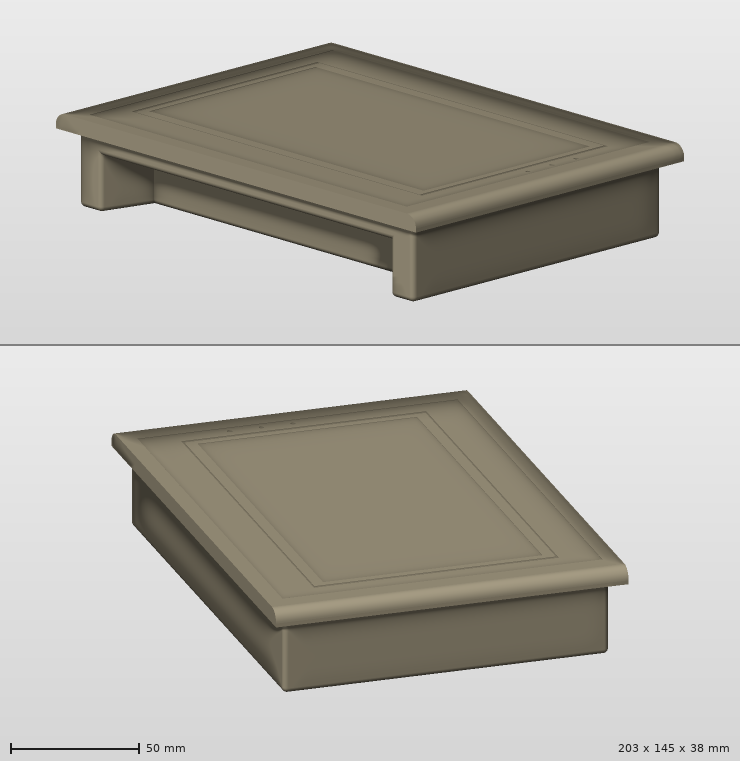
import cadquery as cq
import math

PLATE_LENGTH = 203.0
PLATE_WIDTH = 145.0
PLATE_THICKNESS = 6.7
PLATE_END_RADIUS = 5.0

TOTAL_HEIGHT = 38.0
BODY_LENGTH = 188.4
BODY_WIDTH = 134.0
BODY_EDGE_RADIUS = 2.0
BODY_HEIGHT = TOTAL_HEIGHT - PLATE_THICKNESS

RECESS_MOUTH_LENGTH = 163.6
RECESS_DEPTH = 23.0
RECESS_HEIGHT = 23.1
RECESS_WALL_ANGLE = 15.0

RELIEF_DEPTH = 0.2
FILM_SIZE = (178.6, 131.5)
WINDOW_SIZE = (163.6, 100.7)
WINDOW_INNER_SIZE = (160.4, 99.3)
SCREEN_SIZE = (154.5, 90.1)

LAMP_DIAMETER = 2.0
LAMP_X = 85.9
LAMP_FIRST_Y = 3.0
LAMP_PITCH = 13.0
LAMP_COUNT = 3

SELECT_MARGIN = 0.2

FILM_LEVEL = TOTAL_HEIGHT - RELIEF_DEPTH
SUNK_LEVEL = FILM_LEVEL - RELIEF_DEPTH


def block(size, bottom, height):
    """Centred rectangular block standing on the level `bottom`."""
    return cq.Workplane("XY").workplane(offset=bottom).rect(*size).extrude(height)


def make_plate():
    plate = block((PLATE_LENGTH, PLATE_WIDTH), BODY_HEIGHT, PLATE_THICKNESS)
    return plate.edges("|Y and >Z").fillet(PLATE_END_RADIUS)


def make_recess():
    """Tapered pocket volume, wide at the -Y face of the housing."""
    front = -BODY_WIDTH / 2
    back = front + RECESS_DEPTH
    mouth_half = RECESS_MOUTH_LENGTH / 2
    back_half = mouth_half - RECESS_DEPTH * math.tan(math.radians(RECESS_WALL_ANGLE))
    outline = [(-mouth_half, front), (mouth_half, front), (back_half, back), (-back_half, back)]
    return cq.Workplane("XY").polyline(outline).close().extrude(RECESS_HEIGHT)


def make_body():
    body = block((BODY_LENGTH, BODY_WIDTH), 0, BODY_HEIGHT)
    body = body.edges("|Z").fillet(BODY_EDGE_RADIUS)
    body = body.cut(make_recess())
    mouth_x = RECESS_MOUTH_LENGTH / 2 + SELECT_MARGIN
    front = -BODY_WIDTH / 2
    mouth = cq.selectors.BoxSelector(
        (-mouth_x, front - SELECT_MARGIN, SELECT_MARGIN),
        (mouth_x, front + SELECT_MARGIN, RECESS_HEIGHT + SELECT_MARGIN),
    )
    body = body.edges(mouth).fillet(BODY_EDGE_RADIUS)
    return body.faces("<Z").edges().fillet(BODY_EDGE_RADIUS)


def make_lamps():
    centres = [(LAMP_X, LAMP_FIRST_Y + i * LAMP_PITCH) for i in range(LAMP_COUNT)]
    lamps = cq.Workplane("XY").workplane(offset=SUNK_LEVEL).pushPoints(centres)
    return lamps.circle(LAMP_DIAMETER / 2).extrude(RELIEF_DEPTH)


def make_rim():
    """Narrow rectangular groove framing the display window."""
    outer = block(WINDOW_SIZE, SUNK_LEVEL, RELIEF_DEPTH)
    inner = block(WINDOW_INNER_SIZE, SUNK_LEVEL, RELIEF_DEPTH)
    return outer.cut(inner)


def make_relief():
    """Everything removed from the top face: film seat, window rim, screen and lamps."""
    film = block(FILM_SIZE, FILM_LEVEL, RELIEF_DEPTH)
    screen = block(SCREEN_SIZE, SUNK_LEVEL, RELIEF_DEPTH)
    return film.union(make_rim()).union(screen).union(make_lamps())


result = make_plate().union(make_body()).cut(make_relief())